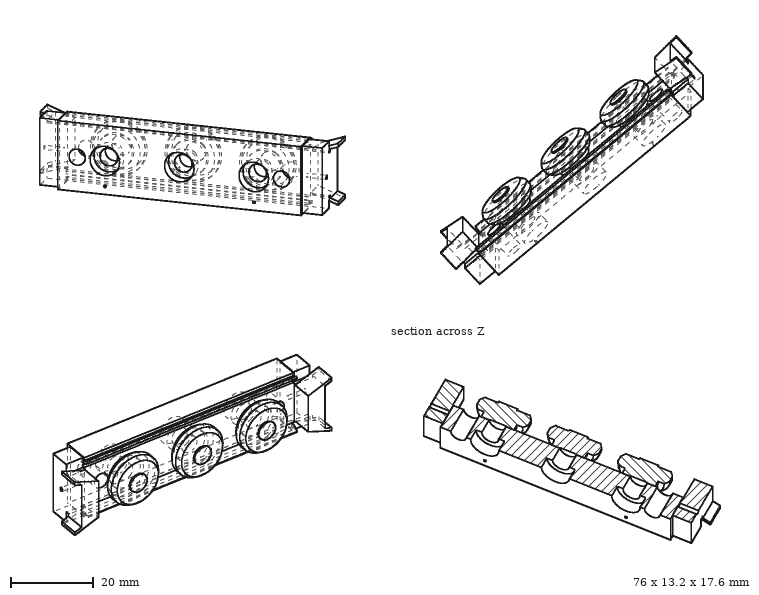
import cadquery as cq
import math

LENGTH = 76.0
BODY_LENGTH = 62.0
BODY_DEPTH = 7.2
BODY_HEIGHT = 17.6
TOTAL_DEPTH = 13.2
CAP_END_X = 36.0

ROLLER_PITCH = 19.0
ROLLER_SHIFT_Z = 0.2
ROLLER_FRONT_Y = 8.7
ROLLER_BACK_Y = 12.7
ROLLER_RADIUS = 7.0
ROLLER_FACE_RADIUS = 6.1
ROLLER_RIM_WIDTH = 1.5
SHOULDER_BULGE = 0.1
SPACER_DIAMETER = 9.0
BOSS_DIAMETER = 5.0
BOSS_END_Y = 13.1
roller_places = [
    (-ROLLER_PITCH, -ROLLER_SHIFT_Z),
    (0.0, ROLLER_SHIFT_Z),
    (ROLLER_PITCH, -ROLLER_SHIFT_Z),
]

COUNTERBORE_DIAMETER = 7.5
COUNTERBORE_DEPTH = 3.05
BOLT_DIAMETER = 4.5
MOUNT_DIAMETER = 4.1
MOUNT_X = 26.1
MARK_DIAMETER = 0.5
MARK_DEPTH = 0.4
MARK_Z = -6.8

GROOVE_FLOOR_Y = 6.1
GROOVE_INNER_Z = 5.9
GROOVE_OUTER_Z = 8.0
SEAL_TIP_Y = 8.3
SEAL_TIP_Z = 8.35
SEAL_THICKNESS = 0.6
SEAL_ANGLE = math.radians(36)

CAP_FRONT_Y = 1.2
CAP_BACK_Y = 6.7
CAP_HEIGHT = 17.2
NECK_HALF_HEIGHT = 5.6
FLAP_FRONT_Y = 7.7
FLAP_TIP_Z = 7.9
FLAP_THICKNESS = 0.9
FLAP_SLOPE = math.tan(math.radians(20))
CAP_HOLE_DIAMETER = 1.0
CAP_HOLE_Y = 4.7


def box(x_range, y_range, z_range):
    """Box between the given limits along each axis."""
    lows, highs = zip(x_range, y_range, z_range)
    size = [high - low for low, high in zip(lows, highs)]
    return cq.Workplane("XY").box(*size, centered=False).translate(lows)


def cylinder_y(diameter, x, z, y_start, y_end):
    """Cylinder along Y."""
    direction = cq.Vector(0, 1, 0)
    solid = cq.Solid.makeCylinder(diameter / 2, y_end - y_start, cq.Vector(x, y_start, z), direction)
    return cq.Workplane(obj=solid)


def make_body():
    """Rail body with roller bolt holes, mounting holes, marks and two seal grooves."""
    half_length = BODY_LENGTH / 2
    half_height = BODY_HEIGHT / 2
    body = box((-half_length, half_length), (0, BODY_DEPTH), (-half_height, half_height))
    for x, z in roller_places:
        body = body.cut(cylinder_y(COUNTERBORE_DIAMETER, x, z, 0, COUNTERBORE_DEPTH))
        body = body.cut(cylinder_y(BOLT_DIAMETER, x, z, 0, BODY_DEPTH))
    for side in (-1, 1):
        body = body.cut(cylinder_y(MOUNT_DIAMETER, side * MOUNT_X, 0, 0, BODY_DEPTH))
        body = body.cut(cylinder_y(MARK_DIAMETER, side * ROLLER_PITCH, MARK_Z, 0, MARK_DEPTH))
    groove = box(
        (-half_length, half_length),
        (GROOVE_FLOOR_Y, BODY_DEPTH),
        (GROOVE_INNER_Z, GROOVE_OUTER_Z),
    )
    return body.cut(groove).cut(groove.mirror("XY"))


def make_roller(x, z):
    """Roller with a cylindrical rim between two rounded shoulders.

    A spacer holds it off the body and a boss stands on its rail side.
    """
    middle_y = (ROLLER_FRONT_Y + ROLLER_BACK_Y) / 2
    rim_front_y = middle_y - ROLLER_RIM_WIDTH / 2
    rim_back_y = middle_y + ROLLER_RIM_WIDTH / 2
    profile = (
        cq.Workplane("XY")
        .moveTo(0, BODY_DEPTH)
        .lineTo(SPACER_DIAMETER / 2, BODY_DEPTH)
        .lineTo(SPACER_DIAMETER / 2, ROLLER_FRONT_Y)
        .lineTo(ROLLER_FACE_RADIUS, ROLLER_FRONT_Y)
        .sagittaArc((ROLLER_RADIUS, rim_front_y), -SHOULDER_BULGE)
        .lineTo(ROLLER_RADIUS, rim_back_y)
        .sagittaArc((ROLLER_FACE_RADIUS, ROLLER_BACK_Y), -SHOULDER_BULGE)
        .lineTo(BOSS_DIAMETER / 2, ROLLER_BACK_Y)
        .lineTo(BOSS_DIAMETER / 2, BOSS_END_Y)
        .lineTo(0, BOSS_END_Y)
        .close()
    )
    return profile.revolve(360, (0, 0), (0, 1)).translate((x, 0, z))


def make_upper_seal():
    """Flat strip that rises at a slant from the groove floor to a square-cut lip."""
    slope = math.tan(SEAL_ANGLE)
    lower_tip_y = SEAL_TIP_Y + SEAL_THICKNESS * math.sin(SEAL_ANGLE)
    lower_tip_z = SEAL_TIP_Z - SEAL_THICKNESS * math.cos(SEAL_ANGLE)
    outline = [
        (SEAL_TIP_Y, SEAL_TIP_Z),
        (lower_tip_y, lower_tip_z),
        (GROOVE_FLOOR_Y, lower_tip_z - slope * (lower_tip_y - GROOVE_FLOOR_Y)),
        (GROOVE_FLOOR_Y, SEAL_TIP_Z - slope * (SEAL_TIP_Y - GROOVE_FLOOR_Y)),
    ]
    return cq.Workplane("YZ").polyline(outline).close().extrude(BODY_LENGTH / 2, both=True)


def make_right_cap():
    """End cap: a block on the body end, a neck behind it and two flared flaps."""
    inner_x = BODY_LENGTH / 2
    tip_x = LENGTH / 2
    half_height = CAP_HEIGHT / 2
    block = box((inner_x, CAP_END_X), (CAP_FRONT_Y, CAP_BACK_Y), (-half_height, half_height))
    neck = box(
        (inner_x, CAP_END_X), (CAP_BACK_Y, FLAP_FRONT_Y), (-NECK_HALF_HEIGHT, NECK_HALF_HEIGHT)
    )

    flap_root_z = FLAP_TIP_Z - FLAP_SLOPE * (tip_x - inner_x)
    flap_tip_under_z = FLAP_TIP_Z - FLAP_THICKNESS
    flap_end_under_z = flap_tip_under_z - FLAP_SLOPE * (tip_x - CAP_END_X)
    upper_points = [
        (inner_x, flap_root_z),
        (tip_x, FLAP_TIP_Z),
        (tip_x, flap_tip_under_z),
        (CAP_END_X, flap_end_under_z),
    ]
    lower_points = [(x, -z) for x, z in reversed(upper_points)]
    flaps = (
        cq.Workplane("XZ", origin=(0, TOTAL_DEPTH, 0))
        .polyline(upper_points + lower_points)
        .close()
        .extrude(TOTAL_DEPTH - FLAP_FRONT_Y)
    )

    hole = (
        cq.Workplane("YZ", origin=(inner_x, CAP_HOLE_Y, 0))
        .circle(CAP_HOLE_DIAMETER / 2)
        .extrude(CAP_END_X - inner_x)
    )
    return block.union(neck).union(flaps).cut(hole)


body = make_body()
rollers = [make_roller(x, z) for x, z in roller_places]
upper_seal = make_upper_seal()
seals = [upper_seal, upper_seal.mirror("XY")]
right_cap = make_right_cap()
caps = [right_cap, right_cap.mirror("YZ")]

result = cq.Compound.makeCompound([part.val() for part in [body, *rollers, *seals, *caps]])